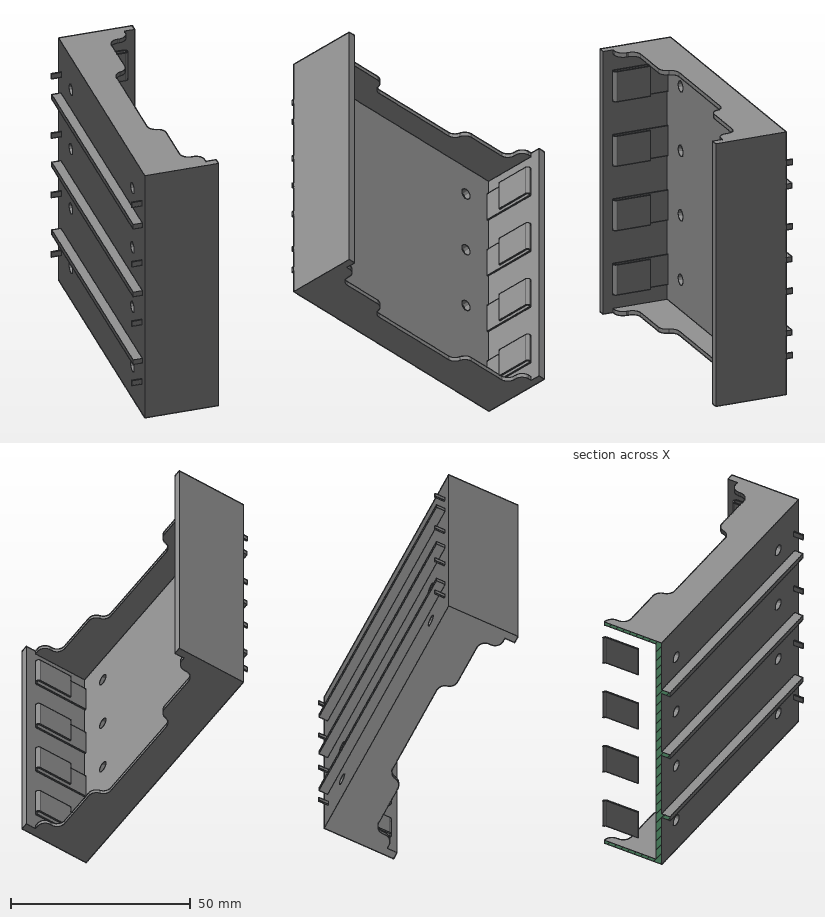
import cadquery as cq
import math


LENGTH = 77.98
HEIGHT = 78.74
DEPTH = 21.59
SIDE_WALL = 2.2
END_WALL = 1.27
FLOOR = 2.0

LEDGE_DROP = 3.05
LEDGE_Y = DEPTH - LEDGE_DROP
LEDGE_WIDTH = 3.55
SHOULDER_Y = 12.85
FINGER_Y = 8.8
STEP_X = 16.25
STEP_SLOPE = math.radians(75)
EDGE_RADIUS = 2.54

ROW_COUNT = 4
ROW_PITCH = 19.3
HOLE_DIAMETER = 3.2
HOLE_SPACING = 55.6

RIB_COUNT = 3
RIB_PITCH = 22.0
RIB_WIDTH = 1.5
RIB_DROP = 2.7
RIB_LENGTH = LENGTH - 2 * SIDE_WALL

PIN_DROP = 3.02
PIN_WIDTH = 1.6
SHEET = 0.4
PIN_X = 36.35
CONTACT_WIDTH = 9.0
CONTACT_RISE = 0.6
CONTACT_TOP_Y = LEDGE_Y + CONTACT_RISE
BEND_RADIUS = 0.9
SPRING_TIP_Y = 8.0


def centred_positions(count, pitch):
    """Evenly spaced positions along one axis, symmetric about zero."""
    return [(i - (count - 1) / 2) * pitch for i in range(count)]


def block(x_range, y_range, z_size, z_centre=0):
    """Box given by its X and Y limits and its size about a Z centre."""
    (x0, x1), (y0, y1) = x_range, y_range
    centre = ((x0 + x1) / 2, (y0 + y1) / 2, z_centre)
    return cq.Workplane("XY").box(x1 - x0, y1 - y0, z_size).translate(centre)


def edge_opening():
    """Prism removed above the contoured edge of the end walls, right through in Z."""
    lip_x = LENGTH / 2 - SIDE_WALL
    shoulder_x = lip_x - LEDGE_WIDTH
    half_run = (SHOULDER_Y - FINGER_Y) / math.tan(STEP_SLOPE) / 2
    right_side = [
        (STEP_X - half_run, FINGER_Y),
        (STEP_X + half_run, SHOULDER_Y),
        (shoulder_x, SHOULDER_Y),
        (shoulder_x, LEDGE_Y),
        (lip_x, LEDGE_Y),
        (lip_x, DEPTH),
    ]
    left_side = [(-x, y) for x, y in reversed(right_side)]
    prism = (
        cq.Workplane("XY")
        .workplane(offset=-HEIGHT / 2)
        .polyline(right_side + left_side)
        .close()
        .extrude(HEIGHT)
    )
    inner_x = shoulder_x + LEDGE_WIDTH / 2
    rounded = prism.edges("|Z").filter(lambda edge: abs(edge.Center().x) < inner_x)
    return rounded.fillet(EDGE_RADIUS)


def tray():
    """Open tray with low, contoured end walls."""
    half_length = LENGTH / 2
    half_inside = half_length - SIDE_WALL
    body = block((-half_length, half_length), (0, DEPTH), HEIGHT)
    pocket = block((-half_inside, half_inside), (FLOOR, DEPTH), HEIGHT - 2 * END_WALL)
    return body.cut(pocket).cut(edge_opening())


def mounting_holes():
    """Cylinders for the two through holes of every row."""
    points = [
        (side * HOLE_SPACING / 2, z)
        for side in (-1, 1)
        for z in centred_positions(ROW_COUNT, ROW_PITCH)
    ]
    return cq.Workplane("XZ").pushPoints(points).circle(HOLE_DIAMETER / 2).extrude(-FLOOR)


def rib(z):
    """Long rib under the floor."""
    return block((-RIB_LENGTH / 2, RIB_LENGTH / 2), (-RIB_DROP, 0), RIB_WIDTH, z)


def contact(z):
    """Sheet folded over into a spring leg, on the +X side, with its pin."""
    outer_x = PIN_X + SHEET / 2
    inner_x = outer_x - 2 * BEND_RADIUS
    bend_y = CONTACT_TOP_Y - BEND_RADIUS
    bend_x = outer_x - BEND_RADIUS
    sheet = (
        cq.Workplane("XY")
        .workplane(offset=z - CONTACT_WIDTH / 2)
        .moveTo(outer_x, FLOOR)
        .lineTo(outer_x, bend_y)
        .threePointArc((bend_x, CONTACT_TOP_Y), (inner_x, bend_y))
        .lineTo(inner_x, SPRING_TIP_Y)
        .lineTo(inner_x + SHEET, SPRING_TIP_Y)
        .lineTo(inner_x + SHEET, bend_y)
        .threePointArc((bend_x, CONTACT_TOP_Y - SHEET), (outer_x - SHEET, bend_y))
        .lineTo(outer_x - SHEET, FLOOR)
        .close()
        .extrude(CONTACT_WIDTH)
    )
    pin = block((outer_x - SHEET, outer_x), (-PIN_DROP, FLOOR), PIN_WIDTH, z)
    return sheet.union(pin)


result = tray().cut(mounting_holes())
for rib_z in centred_positions(RIB_COUNT, RIB_PITCH):
    result = result.union(rib(rib_z))
for row_z in centred_positions(ROW_COUNT, ROW_PITCH):
    row_contact = contact(row_z)
    result = result.union(row_contact).union(row_contact.mirror("YZ"))